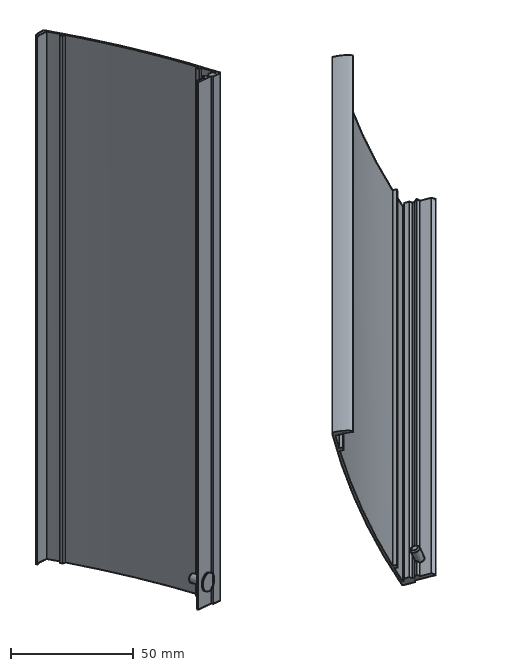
import cadquery as cq
import math

length = 228.0
width = 88.5
depth = 17.8
half_width = width / 2

crown_drop = 3.0
panel_thickness = 1.1
corner_radius = 0.7

left_rib_x = -34.5
right_rib_x = 33.5
rib_width = 1.5
rib_tip_y = -4.5

leg_thickness = 2.0

left_inner_bend_y = -8.2
left_bevel_top_y = -10.3
left_tip_y = -11.5
left_bevel_top_x = -43.0
left_tip_outer_x = -42.5
left_tip_inner_x = -41.5

right_step_y = -8.7
lip_outer_x = 43.3
lip_inner_x = 41.7
lip_chamfer_width = 1.1
lip_chamfer_height = 1.4
upper_ridge_peak_x = 40.8
lower_ridge_peak_x = 40.4
upper_ridge_top_y = -4.3
upper_ridge_flat_top_y = -5.0
upper_ridge_flat_bottom_y = -7.3
groove_top_y = -8.2
groove_bottom_y = -9.1
lower_ridge_peak_y = -10.5
lower_ridge_end_y = -11.5

pin_diameter = 4.0
pin_tip_x = 35.0
pin_tip_chamfer = 0.7
head_diameter = 8.0
head_thickness = 0.7
pin_y = -11.5
pin_z = 10.3

arc_half_chord = half_width - corner_radius
arc_radius = (arc_half_chord**2 + crown_drop**2) / (2 * crown_drop)


def outer_arc_y(x):
    """Y of the panel's convex face at x."""
    return math.sqrt(arc_radius**2 - x**2) - arc_radius


def inner_arc_y(x):
    """Y of the panel's concave face at x."""
    return math.sqrt((arc_radius - panel_thickness)**2 - x**2) - arc_radius


def make_profile():
    """Panel and both legs as one closed outline, extruded along Z."""
    inner_x = half_width - leg_thickness
    shoulder_y = -crown_drop - corner_radius
    bend_width = left_bevel_top_x + half_width
    bend_height = shoulder_y - left_bevel_top_y
    bend_radius = (bend_width**2 + bend_height**2) / (2 * bend_width)
    half_bend_angle = math.asin(bend_height / bend_radius) / 2
    outer_bend_middle = (
        -half_width + bend_radius * (1 - math.cos(half_bend_angle)),
        shoulder_y - bend_radius * math.sin(half_bend_angle),
    )
    return (
        cq.Workplane("XY")
        .moveTo(-arc_half_chord, -crown_drop)
        .threePointArc((0, 0), (arc_half_chord, -crown_drop))
        .radiusArc((half_width, shoulder_y), corner_radius)
        .lineTo(half_width, right_step_y)
        .lineTo(lip_outer_x, right_step_y)
        .lineTo(lip_outer_x, -depth)
        .lineTo(lip_inner_x + lip_chamfer_width, -depth)
        .lineTo(lip_inner_x, -depth + lip_chamfer_height)
        .lineTo(lip_inner_x, lower_ridge_end_y)
        .lineTo(lower_ridge_peak_x, lower_ridge_peak_y)
        .lineTo(lip_inner_x, groove_bottom_y)
        .lineTo(lip_inner_x, groove_top_y)
        .lineTo(upper_ridge_peak_x, upper_ridge_flat_bottom_y)
        .lineTo(upper_ridge_peak_x, upper_ridge_flat_top_y)
        .lineTo(inner_x, upper_ridge_top_y)
        .lineTo(inner_x, inner_arc_y(inner_x))
        .threePointArc((0, -panel_thickness), (-inner_x, inner_arc_y(inner_x)))
        .lineTo(-inner_x, left_inner_bend_y)
        .tangentArcPoint((left_tip_inner_x, left_tip_y), relative=False)
        .lineTo(left_tip_outer_x, left_tip_y)
        .lineTo(left_bevel_top_x, left_bevel_top_y)
        .threePointArc(outer_bend_middle, (-half_width, shoulder_y))
        .radiusArc((-arc_half_chord, -crown_drop), corner_radius)
        .close()
        .extrude(length)
    )


def make_rib(center_x):
    """Full-length rib that starts inside the panel thickness."""
    root_y = (outer_arc_y(center_x) + inner_arc_y(center_x)) / 2
    return (
        cq.Workplane("XY")
        .center(center_x, (root_y + rib_tip_y) / 2)
        .rect(rib_width, root_y - rib_tip_y)
        .extrude(length)
    )


def make_pin():
    """Shank along X with a chamfered tip and a flat head outside the lip."""
    shank = (
        cq.Workplane("YZ", origin=(pin_tip_x, pin_y, pin_z))
        .circle(pin_diameter / 2)
        .extrude(lip_outer_x - pin_tip_x)
        .faces("<X")
        .chamfer(pin_tip_chamfer)
    )
    head = (
        cq.Workplane("YZ", origin=(lip_outer_x, pin_y, pin_z))
        .circle(head_diameter / 2)
        .extrude(head_thickness)
    )
    return shank.union(head)


pin = make_pin()

cover = make_profile()
for rib_x in (left_rib_x, right_rib_x):
    cover = cover.union(make_rib(rib_x))
cover = cover.cut(pin)

result = cq.Compound.makeCompound([cover.val(), pin.val()])